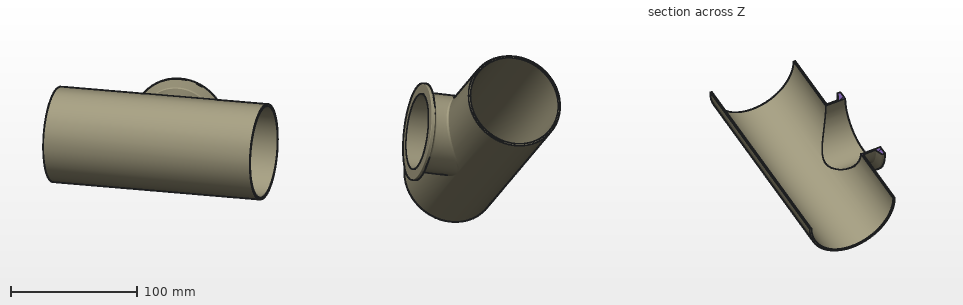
import math

import cadquery as cq

RUN_LENGTH = 171.45
RUN_OD = 76.2
WALL = 1.65
RUN_ID = RUN_OD - 2 * WALL

BRANCH_OD = 63.5
BRANCH_ID = BRANCH_OD - 2 * WALL
FACE_Y = 53.975

FERRULE_LENGTH = 12.7
FLANGE_OD = 77.39
RIM_WIDTH = 2.9
RIM_ROUND = 0.4
CONE_ANGLE = 20.0
NECK_ROUND = 1.2

WELD_RADIUS = 1.5

RIM_BACK_Y = FACE_Y - RIM_WIDTH
CONE_LENGTH = (FLANGE_OD - BRANCH_OD) / 2 * math.tan(math.radians(CONE_ANGLE))
CONE_END_Y = RIM_BACK_Y - CONE_LENGTH
FERRULE_START_Y = FACE_Y - FERRULE_LENGTH

MATCH_TOLERANCE = 0.01


def run_bar(diameter):
    """Round bar over the full length of the main tube."""
    return cq.Workplane("YZ").circle(diameter / 2).extrude(RUN_LENGTH / 2, both=True)


def branch_bar(diameter, end_y):
    """Round bar along +Y from the main tube axis out to end_y."""
    return cq.Workplane("XZ").circle(diameter / 2).extrude(-end_y)


def welded_body():
    """Main tube and branch stub as solid bars, with a weld fillet at their joint."""
    body = run_bar(RUN_OD).union(branch_bar(BRANCH_OD, FERRULE_START_Y))
    half = RUN_OD / 2
    joint = cq.selectors.BoxSelector((-half, 0, -half), (half, half, half))
    return body.edges(joint).fillet(WELD_RADIUS)


def round_ring(solid, ring_y, diameter, radius):
    """Fillet the circular edge of the given diameter lying at ring_y."""
    ring = [
        edge
        for edge in solid.edges("%CIRCLE").vals()
        if abs(edge.Center().y - ring_y) < MATCH_TOLERANCE
        and abs(2 * edge.radius() - diameter) < MATCH_TOLERANCE
    ]
    return solid.newObject(ring).fillet(radius)


def ferrule():
    """Solid ferrule: short neck, conical back and rounded rim."""
    rim_radius = FLANGE_OD / 2
    neck_radius = BRANCH_OD / 2
    profile = (
        cq.Workplane("XY")
        .moveTo(0, FERRULE_START_Y)
        .lineTo(neck_radius, FERRULE_START_Y)
        .lineTo(neck_radius, CONE_END_Y)
        .lineTo(rim_radius, RIM_BACK_Y)
        .lineTo(rim_radius, FACE_Y)
        .lineTo(0, FACE_Y)
        .close()
    )
    solid = profile.revolve(360, (0, 0, 0), (0, 1, 0))
    for rim_y in (RIM_BACK_Y, FACE_Y):
        solid = round_ring(solid, rim_y, FLANGE_OD, RIM_ROUND)
    return round_ring(solid, CONE_END_Y, BRANCH_OD, NECK_ROUND)


result = (
    welded_body()
    .union(ferrule(), clean=False)
    .cut(run_bar(RUN_ID), clean=False)
    .cut(branch_bar(BRANCH_ID, FACE_Y), clean=False)
)